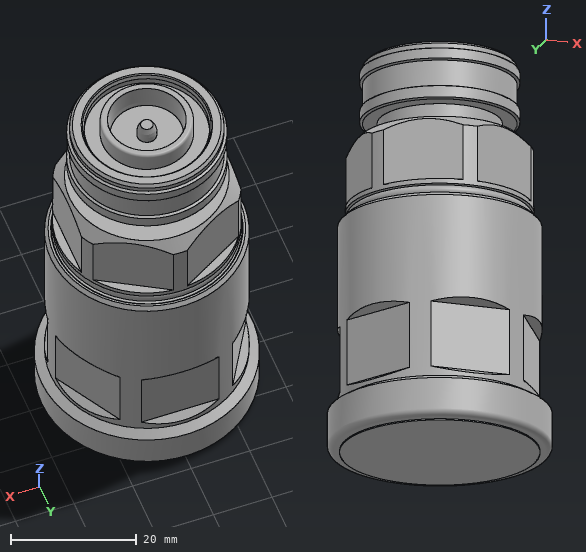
import cadquery as cq
import math

TOTAL_HEIGHT = 66.8
FLAT_COUNT = 6
FLAT_PITCH = 360 / FLAT_COUNT
HEX_CORNER_ANGLE = 90
NUT_FLAT_ANGLE = 90

FLANGE_DIAMETER = 36.0
FLANGE_RADIUS = FLANGE_DIAMETER / 2
FLANGE_EDGE_Z = 6.5
FLANGE_FOOT_RADIUS = 16.0
FLANGE_FOOT_HEIGHT = 0.2
FLANGE_ROUND = 1.0
BARREL_RADIUS = 16.35
BARREL_BASE_Z = 7.4
NUT_TOP_Z = 38.55
NUT_RIM_CHAMFER = 0.6
NUT_FLAT_APOTHEM = 14.95
NUT_FLAT_BOTTOM_Z = 9.0
NUT_FLAT_TOP_Z = 20.0
NUT_FLAT_RUNOUT = 0.9
SEAT_RADIUS = 15.2
SEAT_CHAMFER = 0.15

RING_WIRE_RADIUS = 1.0
RING_OUTER_RADIUS = 15.1
RING_CENTRE_RADIUS = RING_OUTER_RADIUS - RING_WIRE_RADIUS
SPIGOT_RADIUS = RING_CENTRE_RADIUS - RING_WIRE_RADIUS

COLLAR_BOTTOM_Z = 40.3
SEAT_Z = COLLAR_BOTTOM_Z - 2 * RING_WIRE_RADIUS
HEX_BOTTOM_Z = 41.1
HEX_CORNER_Z = 50.3
HEX_TOP_Z = 52.25
HEX_CORNER_RADIUS = 15.1
HEX_TOP_RADIUS = 13.15
HEX_APOTHEM = 13.6

NECK_RADIUS = 10.0
SHELL_RADIUS = 12.35
SHELL_TOP_Z = 65.3
SHELL_CHAMFER = 0.5
BAND_RADIUS = 12.8
BAND_SHOULDER = 0.2
LOWER_BAND_Z = (55.45, 57.7)
UPPER_BAND_Z = (62.0, 64.05)
BORE_RADIUS = 10.0
BORE_MOUTH_RADIUS = 10.3
BORE_MOUTH_CHAMFER = 0.2
BORE_MOUTH_TAPER_Z = 64.5
BORE_FLOOR_Z = 63.45
TUBE_RADIUS = 7.5
TUBE_ROUND = 0.5
TUBE_MOUTH_RADIUS = 6.3
TUBE_WAIST_RADIUS = 6.0
TUBE_WAIST_Z = 63.6
TUBE_FLOOR_RADIUS = 5.9
TUBE_FLOOR_Z = 62.9
PIN_RADIUS = 1.6
PIN_TIP_RADIUS = 1.0
PIN_TIP_Z = 65.5
PIN_SHOULDER_RADIUS = 1.5
PIN_SHOULDER_Z = 64.6
PIN_TAPER_BOTTOM_Z = 63.9


def turned(profile):
    """Revolve (radius, height) points about the Z axis."""
    return cq.Workplane("XZ").polyline(profile).close().revolve(360, (0, 0), (0, 1))


def make_band(bottom_z, top_z):
    """Raised ring round the shell, its shoulders sloping down to the shell surface."""
    return turned([
        (NECK_RADIUS, bottom_z),
        (SHELL_RADIUS, bottom_z),
        (BAND_RADIUS, bottom_z + BAND_SHOULDER),
        (BAND_RADIUS, top_z - BAND_SHOULDER),
        (SHELL_RADIUS, top_z),
        (NECK_RADIUS, top_z),
    ])


def make_front_hexagon():
    """Hexagon with turned corners and a conical top chamfer."""
    blank = turned([
        (0, HEX_BOTTOM_Z),
        (HEX_CORNER_RADIUS, HEX_BOTTOM_Z),
        (HEX_CORNER_RADIUS, HEX_CORNER_Z),
        (HEX_TOP_RADIUS, HEX_TOP_Z),
        (0, HEX_TOP_Z),
    ])
    sharp_corner_radius = HEX_APOTHEM / math.cos(math.pi / FLAT_COUNT)
    hexagon = (
        cq.Workplane("XY")
        .workplane(offset=HEX_BOTTOM_Z)
        .transformed(rotate=(0, 0, HEX_CORNER_ANGLE))
        .polygon(FLAT_COUNT, 2 * sharp_corner_radius)
        .extrude(HEX_TOP_Z - HEX_BOTTOM_Z)
    )
    return blank.intersect(hexagon)


def make_collar_and_spigot():
    """Collar that presses on the O-ring, and the spigot through it that rests on the nut's seat."""
    return turned([
        (0, SEAT_Z),
        (SPIGOT_RADIUS, SEAT_Z),
        (SPIGOT_RADIUS, COLLAR_BOTTOM_Z),
        (HEX_CORNER_RADIUS, COLLAR_BOTTOM_Z),
        (HEX_CORNER_RADIUS, HEX_BOTTOM_Z),
        (0, HEX_BOTTOM_Z),
    ])


def make_mating_end():
    """Neck, shell, contact tube and centre pin, turned as one profile from the neck round to the pin tip."""
    shell_bottom_z = LOWER_BAND_Z[0]
    return (
        cq.Workplane("XZ")
        .moveTo(0, HEX_TOP_Z)
        .lineTo(NECK_RADIUS, HEX_TOP_Z)
        .lineTo(NECK_RADIUS, shell_bottom_z)
        .lineTo(SHELL_RADIUS, shell_bottom_z)
        .lineTo(SHELL_RADIUS, SHELL_TOP_Z - SHELL_CHAMFER)
        .lineTo(SHELL_RADIUS - SHELL_CHAMFER, SHELL_TOP_Z)
        .lineTo(BORE_MOUTH_RADIUS + BORE_MOUTH_CHAMFER, SHELL_TOP_Z)
        .lineTo(BORE_MOUTH_RADIUS, SHELL_TOP_Z - BORE_MOUTH_CHAMFER)
        .lineTo(BORE_RADIUS, BORE_MOUTH_TAPER_Z)
        .lineTo(BORE_RADIUS, BORE_FLOOR_Z)
        .lineTo(TUBE_RADIUS, BORE_FLOOR_Z)
        .lineTo(TUBE_RADIUS, TOTAL_HEIGHT - TUBE_ROUND)
        .radiusArc((TUBE_RADIUS - TUBE_ROUND, TOTAL_HEIGHT), -TUBE_ROUND)
        .lineTo(TUBE_MOUTH_RADIUS, TOTAL_HEIGHT)
        .lineTo(TUBE_WAIST_RADIUS, TUBE_WAIST_Z)
        .lineTo(TUBE_FLOOR_RADIUS, TUBE_FLOOR_Z)
        .lineTo(PIN_RADIUS, TUBE_FLOOR_Z)
        .lineTo(PIN_RADIUS, PIN_TAPER_BOTTOM_Z)
        .lineTo(PIN_SHOULDER_RADIUS, PIN_SHOULDER_Z)
        .lineTo(PIN_TIP_RADIUS, PIN_TIP_Z)
        .lineTo(0, PIN_TIP_Z)
        .close()
        .revolve(360, (0, 0), (0, 1))
    )


def make_front_body():
    body = make_collar_and_spigot().union(make_front_hexagon()).union(make_mating_end())
    for bottom_z, top_z in (LOWER_BAND_Z, UPPER_BAND_Z):
        body = body.union(make_band(bottom_z, top_z))
    return body


def make_o_ring():
    """Torus held between the nut's seat and the collar."""
    centre_z = SEAT_Z + RING_WIRE_RADIUS
    return (
        cq.Workplane("XZ")
        .center(RING_CENTRE_RADIUS, centre_z)
        .circle(RING_WIRE_RADIUS)
        .revolve(360, (-RING_CENTRE_RADIUS, 0), (-RING_CENTRE_RADIUS, 1))
    )


def nut_flat_cutter(angle):
    """Wedge that cuts one flat, its two ends sloping out to the barrel surface."""
    slope = NUT_FLAT_RUNOUT / (BARREL_RADIUS - NUT_FLAT_APOTHEM)
    outer = FLANGE_RADIUS
    spread = slope * (outer - NUT_FLAT_APOTHEM)
    return (
        cq.Workplane("XZ")
        .polyline([
            (NUT_FLAT_APOTHEM, NUT_FLAT_BOTTOM_Z),
            (outer, NUT_FLAT_BOTTOM_Z - spread),
            (outer, NUT_FLAT_TOP_Z + spread),
            (NUT_FLAT_APOTHEM, NUT_FLAT_TOP_Z),
        ])
        .close()
        .extrude(BARREL_RADIUS, both=True)
        .rotate((0, 0, 0), (0, 0, 1), angle)
    )


def make_rear_nut():
    """Flanged barrel with a recess for the O-ring and six wrench flats."""
    nut = (
        cq.Workplane("XZ")
        .moveTo(0, 0)
        .lineTo(FLANGE_FOOT_RADIUS, 0)
        .lineTo(FLANGE_FOOT_RADIUS, FLANGE_FOOT_HEIGHT)
        .lineTo(FLANGE_RADIUS - FLANGE_ROUND, FLANGE_FOOT_HEIGHT)
        .radiusArc((FLANGE_RADIUS, FLANGE_FOOT_HEIGHT + FLANGE_ROUND), -FLANGE_ROUND)
        .lineTo(FLANGE_RADIUS, FLANGE_EDGE_Z)
        .lineTo(BARREL_RADIUS, BARREL_BASE_Z)
        .lineTo(BARREL_RADIUS, NUT_TOP_Z - NUT_RIM_CHAMFER)
        .lineTo(BARREL_RADIUS - NUT_RIM_CHAMFER, NUT_TOP_Z)
        .lineTo(SEAT_RADIUS + SEAT_CHAMFER, NUT_TOP_Z)
        .lineTo(SEAT_RADIUS, NUT_TOP_Z - SEAT_CHAMFER)
        .lineTo(SEAT_RADIUS, SEAT_Z)
        .lineTo(0, SEAT_Z)
        .close()
        .revolve(360, (0, 0), (0, 1))
    )
    for index in range(FLAT_COUNT):
        nut = nut.cut(nut_flat_cutter(NUT_FLAT_ANGLE + index * FLAT_PITCH))
    return nut


front_body = make_front_body()
o_ring = make_o_ring()
rear_nut = make_rear_nut()
result = cq.Compound.makeCompound([front_body.val(), o_ring.val(), rear_nut.val()])